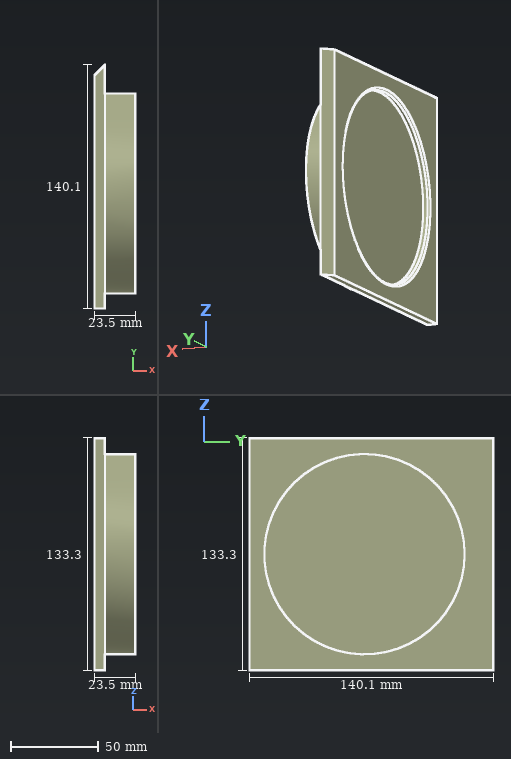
import cadquery as cq

total_depth = 23.54
total_width = 140.06
plate_height = 133.35

plate_thickness = 6.0
bevel_depth = plate_thickness
plate_near_y = -66.05
plate_far_y = plate_near_y + total_width

drum_diameter = 115.0
recess_depth = 4.0
drum_length = total_depth - recess_depth

opening_diameter = 112.5
opening_rim_diameter = drum_diameter
rim_chamfer = (opening_rim_diameter - opening_diameter) / 2


def make_plate():
    """Square plate with a bevelled edge, a chamfered round opening and a socket behind it."""
    blank = (
        cq.Workplane("XY")
        .workplane(offset=-plate_height / 2)
        .moveTo(0, plate_near_y)
        .lineTo(plate_thickness, plate_near_y)
        .lineTo(plate_thickness, plate_far_y)
        .lineTo(0, plate_far_y - bevel_depth)
        .close()
        .extrude(plate_height)
    )
    opening = (
        cq.Workplane("XY")
        .lineTo(0, opening_rim_diameter / 2)
        .lineTo(rim_chamfer, opening_diameter / 2)
        .lineTo(recess_depth, opening_diameter / 2)
        .lineTo(recess_depth, drum_diameter / 2)
        .lineTo(plate_thickness, drum_diameter / 2)
        .lineTo(plate_thickness, 0)
        .close()
        .revolve(360, (0, 0, 0), (1, 0, 0))
    )
    return blank.cut(opening)


def make_drum():
    """Solid round drum whose front face closes the opening from behind."""
    return (
        cq.Workplane("YZ")
        .workplane(offset=recess_depth)
        .circle(drum_diameter / 2)
        .extrude(drum_length)
    )


plate = make_plate()
drum = make_drum()
result = cq.Compound.makeCompound([plate.val(), drum.val()])